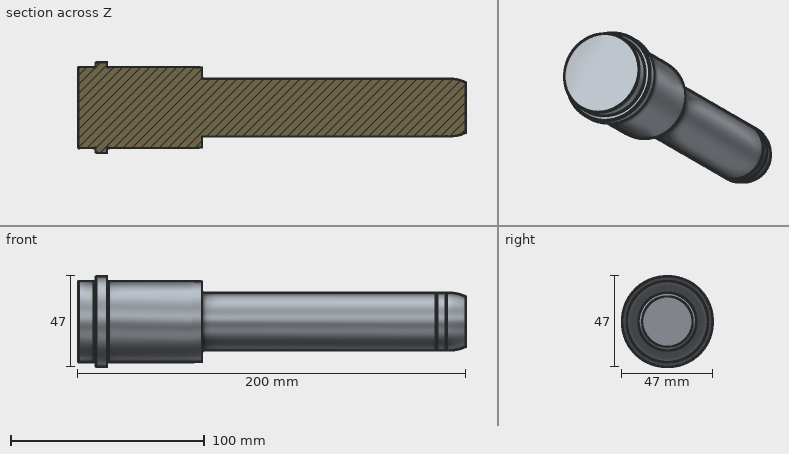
import cadquery as cq


total_length = 200.0
head_diameter = 42.0
collar_diameter = 47.0
shaft_diameter = 30.0
nose_end_diameter = 26.0

head_length = 64.0
end_chamfer = 0.5
collar_start = 9.0
collar_width = 6.0
collar_chamfer = 0.5
relief_width = 1.0
relief_depth = 0.15
head_lead_length = 5.0
head_lead_drop = 0.2
head_edge_radius = 0.5
shaft_root_radius = 0.5

groove_starts = (184.5, 189.5)
groove_width = 1.0
groove_depth = 0.15
nose_length = 7.2
nose_arc_radius = 20.0

head_radius = head_diameter / 2
collar_radius = collar_diameter / 2
shaft_radius = shaft_diameter / 2
nose_end_radius = nose_end_diameter / 2
collar_end = collar_start + collar_width
lead_radius = head_radius - head_lead_drop
nose_start = total_length - nose_length


def revolve_about_x(outline):
    """Turn a closed half outline a full circle about the X axis."""
    return outline.close().revolve(360, (0, 0, 0), (1, 0, 0))


def ring(start, width, inner_radius, outer_radius):
    """Make a square-edged ring, used to cut a groove."""
    return (
        cq.Workplane("YZ", origin=(start, 0, 0))
        .circle(outer_radius)
        .circle(inner_radius)
        .extrude(width)
    )


def make_head():
    """Make the thick end: plain stub, collar and body with a slightly tapered lead."""
    outline = (
        cq.Workplane("XY")
        .lineTo(0, head_radius - end_chamfer)
        .lineTo(end_chamfer, head_radius)
        .lineTo(collar_start, head_radius)
        .lineTo(collar_start, collar_radius - collar_chamfer)
        .lineTo(collar_start + collar_chamfer, collar_radius)
        .lineTo(collar_end, collar_radius)
        .lineTo(collar_end, head_radius)
        .lineTo(head_length - head_lead_length, head_radius)
        .lineTo(head_length - head_edge_radius, lead_radius)
        .radiusArc((head_length, lead_radius - head_edge_radius), head_edge_radius)
        .lineTo(head_length, shaft_radius + shaft_root_radius)
        .radiusArc((head_length + shaft_root_radius, shaft_radius), -shaft_root_radius)
        .lineTo(head_length + shaft_root_radius, 0)
    )
    head = revolve_about_x(outline)
    for start in (collar_start - relief_width, collar_end):
        head = head.cut(ring(start, relief_width, head_radius - relief_depth, head_radius))
    return head


def make_shaft():
    """Make the slim end: grooved cylinder with a nose rounded by a shallow arc."""
    outline = (
        cq.Workplane("XY")
        .lineTo(0, shaft_radius)
        .lineTo(nose_start, shaft_radius)
        .radiusArc((total_length, nose_end_radius), nose_arc_radius)
        .lineTo(total_length, 0)
    )
    shaft = revolve_about_x(outline)
    for start in groove_starts:
        shaft = shaft.cut(ring(start, groove_width, shaft_radius - groove_depth, shaft_radius))
    return shaft


result = make_head().union(make_shaft()).translate((-total_length / 2, 0, 0))